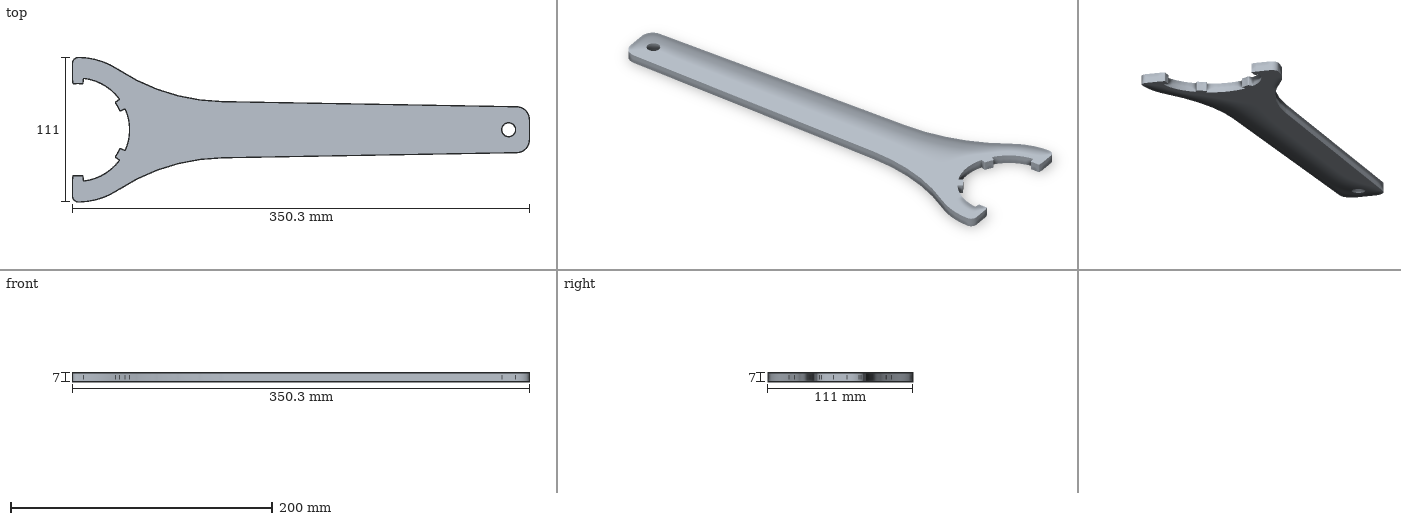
import cadquery as cq
import math

thickness = 7.0
overall_length = 350.33

bore_radius = 39.5
hook_outer_radius = 55.5
hook_corner_radius = 5.0

lug_tip_radius = 35.25
lug_tip_fillet = 0.75
lug_half_angle = math.radians(6.3)
gap_count = 6
lug_spacing = 2 * math.pi / gap_count

neck_radius = 150.0
taper_angle = math.radians(1.0)
handle_end_half_width = 17.5
handle_corner_radius = 10.0
hang_hole_diameter = 10.5
hang_hole_from_end = 16.0

hook_end_x = -bore_radius * math.sin(lug_half_angle)
handle_end_x = hook_end_x + overall_length


def point_on_circle(center, radius, angle):
    """Point at the given angle, in radians, on a circle."""
    return (center[0] + radius * math.cos(angle), center[1] + radius * math.sin(angle))


def mirrored(point):
    """Point reflected across the handle's long axis."""
    return (point[0], -point[1])


def make_blank():
    """Plate with a rounded hook end, concave necks and a tapering handle."""
    bore_center = (0, 0)

    corner_x = hook_end_x + hook_corner_radius
    corner_distance = hook_outer_radius - hook_corner_radius
    corner_direction = math.acos(corner_x / corner_distance)
    corner_center = point_on_circle(bore_center, corner_distance, corner_direction)
    hook_start = point_on_circle(corner_center, hook_corner_radius, math.pi)
    corner_middle = point_on_circle(corner_center, hook_corner_radius, (math.pi + corner_direction) / 2)
    corner_end = point_on_circle(corner_center, hook_corner_radius, corner_direction)

    neck_distance = hook_outer_radius + neck_radius
    half_width_at_bore = handle_end_half_width + handle_end_x * math.tan(taper_angle)
    neck_offset = half_width_at_bore * math.cos(taper_angle) + neck_radius
    neck_direction = math.asin(neck_offset / neck_distance) - taper_angle
    neck_center = point_on_circle(bore_center, neck_distance, neck_direction)
    hook_middle = point_on_circle(bore_center, hook_outer_radius, (corner_direction + neck_direction) / 2)
    neck_start = point_on_circle(bore_center, hook_outer_radius, neck_direction)
    neck_start_angle = neck_direction - math.pi
    neck_end_angle = -math.pi / 2 - taper_angle
    neck_middle = point_on_circle(neck_center, neck_radius, (neck_start_angle + neck_end_angle) / 2)
    neck_end = point_on_circle(neck_center, neck_radius, neck_end_angle)
    handle_corner = (handle_end_x, handle_end_half_width)

    blank = (
        cq.Workplane("XY")
        .moveTo(*hook_start)
        .threePointArc(corner_middle, corner_end)
        .threePointArc(hook_middle, neck_start)
        .threePointArc(neck_middle, neck_end)
        .lineTo(*handle_corner)
        .lineTo(*mirrored(handle_corner))
        .lineTo(*mirrored(neck_end))
        .threePointArc(mirrored(neck_middle), mirrored(neck_start))
        .threePointArc(mirrored(hook_middle), mirrored(corner_end))
        .threePointArc(mirrored(corner_middle), mirrored(hook_start))
        .close()
        .extrude(thickness)
    )
    return blank.edges("|Z and >X").fillet(handle_corner_radius)


def make_gap(middle_angle):
    """Sector of the bore that is open between two neighbouring lugs."""
    bore_center = (0, 0)
    half_angle = lug_spacing / 2 - lug_half_angle
    return (
        cq.Workplane("XY")
        .moveTo(*bore_center)
        .lineTo(*point_on_circle(bore_center, bore_radius, middle_angle - half_angle))
        .threePointArc(
            point_on_circle(bore_center, bore_radius, middle_angle),
            point_on_circle(bore_center, bore_radius, middle_angle + half_angle),
        )
        .close()
        .extrude(thickness)
    )


def cut_bore(plate):
    """Cut the circle through the lug tips, then the deeper gaps that leave the lugs."""
    tip_circle = cq.Workplane("XY").circle(lug_tip_radius).extrude(thickness)
    plate = plate.cut(tip_circle)
    for index in range(gap_count):
        plate = plate.cut(make_gap(index * lug_spacing))
    return plate


def round_lug_tips(plate):
    """Fillet the two tip corners of every lug, which lie on the tip circle."""
    tolerance = 0.01

    def is_on_tip_circle(edge):
        center = edge.Center()
        return abs(math.hypot(center.x, center.y) - lug_tip_radius) < tolerance

    return plate.edges("|Z").filter(is_on_tip_circle).fillet(lug_tip_fillet)


def cut_hang_hole(plate):
    """Cut the round hole near the handle's end."""
    hang_hole = (
        cq.Workplane("XY")
        .center(handle_end_x - hang_hole_from_end, 0)
        .circle(hang_hole_diameter / 2)
        .extrude(thickness)
    )
    return plate.cut(hang_hole)


spanner = make_blank()
spanner = cut_bore(spanner)
spanner = round_lug_tips(spanner)
result = cut_hang_hole(spanner)